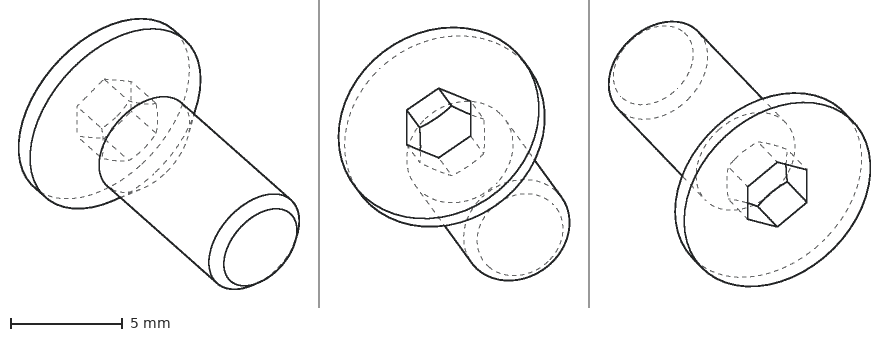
import cadquery as cq
import math

screw_length = 12.0
shank_diameter = 5.0
head_diameter = 9.43
head_height = 3.1
tip_chamfer = 0.48

socket_across_flats = 3.0
socket_sides = 6
socket_first_corner_angle = 30.0
socket_depth = 1.9
socket_floor_angle = 120.0

shank_radius = shank_diameter / 2
head_radius = head_diameter / 2
countersink_length = head_radius - shank_radius
head_rim_length = head_height - countersink_length

socket_corner_radius = socket_across_flats / 2 / math.cos(math.pi / socket_sides)
socket_floor_height = socket_corner_radius / math.tan(math.radians(socket_floor_angle / 2))


def make_body():
    """Revolve the half profile of head, shank and chamfered tip about the X axis."""
    return (
        cq.Workplane("XY")
        .moveTo(0, 0)
        .lineTo(0, head_radius)
        .lineTo(head_rim_length, head_radius)
        .lineTo(head_height, shank_radius)
        .lineTo(screw_length - tip_chamfer, shank_radius)
        .lineTo(screw_length, shank_radius - tip_chamfer)
        .lineTo(screw_length, 0)
        .close()
        .revolve(360, (0, 0, 0), (1, 0, 0))
    )


def make_socket():
    """Hexagonal prism, corners up and down, trimmed by a cone at its inner end."""
    corner_step = 360 / socket_sides
    corner_angles = [
        math.radians(socket_first_corner_angle + corner_step * i)
        for i in range(socket_sides)
    ]
    corners = [
        (socket_corner_radius * math.cos(a), socket_corner_radius * math.sin(a))
        for a in corner_angles
    ]
    tip_depth = socket_depth + socket_floor_height
    prism = cq.Workplane("YZ").polyline(corners).close().extrude(tip_depth)
    drill = (
        cq.Workplane("XY")
        .moveTo(0, 0)
        .lineTo(0, socket_corner_radius)
        .lineTo(socket_depth, socket_corner_radius)
        .lineTo(tip_depth, 0)
        .close()
        .revolve(360, (0, 0, 0), (1, 0, 0))
    )
    return prism.intersect(drill)


result = make_body().cut(make_socket())